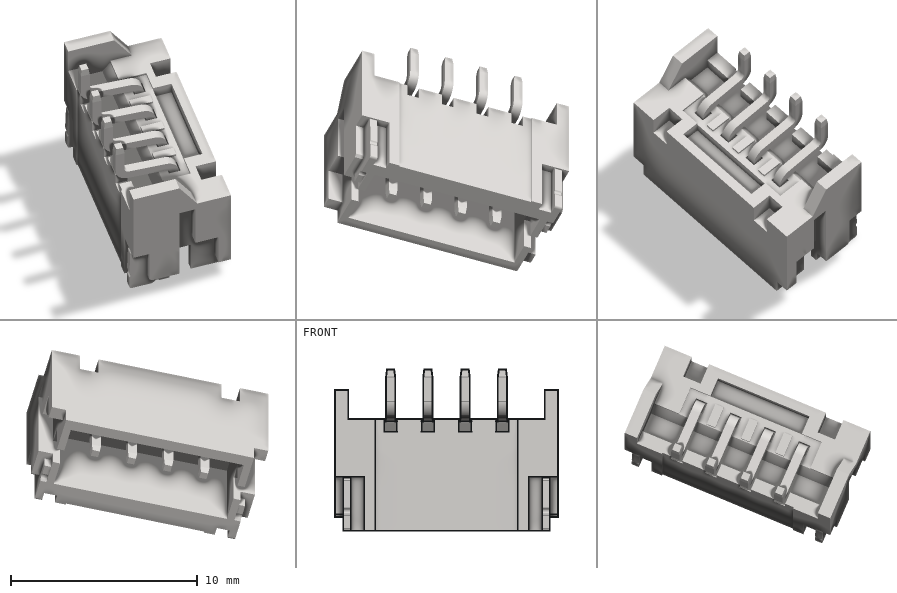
import cadquery as cq
import math


WIDTH = 11.95
DEPTH = 5.5
HEIGHT = 6.0
HALF_WIDTH = WIDTH / 2

END_WALL = 0.72
END_WALL_TOP = 7.55
END_WALL_CREST_BACK = 2.59
END_WALL_FOOT_BACK = 3.6

PIN_COUNT = 4
PITCH = 2.0
PIN_SIZE = 0.5
PIN_TIP_SIZE = 0.4
PIN_TIP_LENGTH = 0.41
PIN_INNER_RADIUS = 0.25
PIN_OUTER_RADIUS = PIN_INNER_RADIUS + PIN_SIZE
PIN_TOP = 8.65
PIN_BOTTOM = 0.69
PIN_BEAM_BOTTOM = 6.2
PIN_BEAM_TILT = math.radians(3.5)
PIN_FRONT = -0.11
PIN_BACK = 3.44
PIN_XS = [(i - (PIN_COUNT - 1) / 2) * PITCH for i in range(PIN_COUNT)]

TROUGH_FLOOR = 5.32
RIM_BACK = 0.74
TROUGH_BACK = 1.92
SLOPE_BACK = 2.38
PIN_CLEARANCE = 0.67

BAY_HALF_WIDTH = 3.81
BAY_BACK = 3.93
BAY_FLOOR = 5.87
FRONT_PANEL_RELIEF = 0.07
PIN_WELL_DEPTH = 0.24
PAD_WIDTH = 0.49
PAD_FRONT = 2.44
PAD_BACK = 3.63

POCKET_WIDTH = 5.32
POCKET_BACK = 4.97
NOTCH_WIDTH = 1.02
NOTCH_OFFSET = 3.91
NOTCH_FRONT = 4.34
NOTCH_DEPTH = 1.2

CAVITY_END_WALL = 1.2
CAVITY_FRONT = 1.2
CAVITY_BACK = 4.9
CAVITY_HEIGHT = 4.3

END_RECESS = 0.79
SIDE_SLOT_FRONT = 2.59
SIDE_SLOT_BACK = 3.49
SIDE_SLOT_TOP = 5.57
WINDOW_TOP = 1.9
STEP_BACK = 4.79
STEP_TOP = 2.89
BACK_SKIRT_BOTTOM = 0.88

CORNER_POCKET_WIDTH = 1.57
CORNER_POCKET_BACK = 0.9
CORNER_POCKET_INNER_BACK = 0.47
CORNER_POCKET_CHAMFER = 0.14
FOOT_RECESS_TOP = 0.74

CLIP_INSET = 0.44
CLIP_THICKNESS = 0.41
CLIP_FRONT = -0.08
CLIP_TOP_FRONT = -0.04
CLIP_TOP = 2.86
CLIP_TOP_ROUND = 0.14
CLIP_LEG_BACK = 1.08
CLIP_FOOT_BACK = 2.17
CLIP_FOOT_TOP = 0.84
CLIP_FOOT_UNDERSIDE = 0.11
CLIP_TOE_RADIUS = 0.14
CLIP_GROOVE_HALF_WIDTH = 0.14
CLIP_GROOVE_HEIGHT = 0.07
CLIP_GROOVE_Y = 1.47
CLIP_HEEL_Y = 1.21
CLIP_NOTCH_Z = 1.05
CLIP_NOTCH_HALF_HEIGHT = 0.15
CLIP_NOTCH_DEPTH = 0.08
CLIP_NOTCH_LIP_ROUND = 0.1


def block(x_range, y_range, z_range):
    """Box spanning the given X, Y and Z ranges."""
    size = [high - low for low, high in (x_range, y_range, z_range)]
    corner = (x_range[0], y_range[0], z_range[0])
    return cq.Workplane("XY").box(*size, centered=False).translate(corner)


def centred_block(x, width, y_range, z_range):
    """Box of the given width centred on x."""
    return block((x - width / 2, x + width / 2), y_range, z_range)


def side_profile(x_start):
    """Sketch plane for outlines in (Y, Z), extruding toward +X from x_start."""
    return cq.Workplane("YZ", origin=(x_start, 0, 0))


def on_both_ends(left_part):
    """The part at the -X end together with its mirror image."""
    return left_part.union(left_part.mirror("YZ"))


def make_end_walls():
    outline = [
        (0, 0),
        (0, END_WALL_TOP),
        (END_WALL_CREST_BACK, END_WALL_TOP),
        (END_WALL_FOOT_BACK, HEIGHT),
        (END_WALL_FOOT_BACK, 0),
    ]
    return on_both_ends(side_profile(-HALF_WIDTH).polyline(outline).close().extrude(END_WALL))


def cut_top(body):
    """Trough, bay, pads, pin wells, rim slots, pocket and back notches."""
    trough_half_width = HALF_WIDTH - END_WALL
    trough_outline = [
        (RIM_BACK, HEIGHT),
        (RIM_BACK, TROUGH_FLOOR),
        (TROUGH_BACK, TROUGH_FLOOR),
        (SLOPE_BACK, BAY_FLOOR),
        (SLOPE_BACK, HEIGHT),
    ]
    trough = side_profile(-trough_half_width).polyline(trough_outline).close()
    body = body.cut(trough.extrude(2 * trough_half_width))

    bay_width = 2 * BAY_HALF_WIDTH
    bay = centred_block(0, bay_width, (SLOPE_BACK, BAY_BACK), (BAY_FLOOR, HEIGHT))
    for left_pin, right_pin in zip(PIN_XS, PIN_XS[1:]):
        pad_x = (left_pin + right_pin) / 2
        bay = bay.cut(centred_block(pad_x, PAD_WIDTH, (PAD_FRONT, PAD_BACK), (BAY_FLOOR, HEIGHT)))
    body = body.cut(bay)
    body = body.cut(centred_block(0, bay_width, (0, FRONT_PANEL_RELIEF), (0, HEIGHT)))

    well_middle = PIN_BACK - PIN_SIZE / 2
    well_range = (well_middle - PIN_CLEARANCE / 2, well_middle + PIN_CLEARANCE / 2)
    for x in PIN_XS:
        body = body.cut(centred_block(x, PIN_CLEARANCE, (0, RIM_BACK), (TROUGH_FLOOR, HEIGHT)))
        body = body.cut(centred_block(x, PIN_CLEARANCE, well_range, (BAY_FLOOR - PIN_WELL_DEPTH, HEIGHT)))

    body = body.cut(centred_block(0, POCKET_WIDTH, (BAY_BACK, POCKET_BACK), (TROUGH_FLOOR, HEIGHT)))
    notch = centred_block(-NOTCH_OFFSET, NOTCH_WIDTH, (NOTCH_FRONT, DEPTH), (HEIGHT - NOTCH_DEPTH, HEIGHT))
    return body.cut(on_both_ends(notch))


def cut_cavity(body):
    """Mating cavity, and the window that opens it through both ends."""
    cavity_width = WIDTH - 2 * CAVITY_END_WALL
    body = body.cut(centred_block(0, cavity_width, (CAVITY_FRONT, CAVITY_BACK), (0, CAVITY_HEIGHT)))
    return body.cut(centred_block(0, WIDTH, (SIDE_SLOT_FRONT, SIDE_SLOT_BACK), (0, WINDOW_TOP)))


def cut_ends(body):
    """Stepped recesses in the ends and the corner pockets for the clips."""
    recess_x = (-HALF_WIDTH, -HALF_WIDTH + END_RECESS)
    recesses = block(recess_x, (SIDE_SLOT_FRONT, SIDE_SLOT_BACK), (0, SIDE_SLOT_TOP))
    recesses = recesses.union(block(recess_x, (SIDE_SLOT_FRONT, STEP_BACK), (0, STEP_TOP)))
    recesses = recesses.union(block(recess_x, (SIDE_SLOT_FRONT, DEPTH), (0, BACK_SKIRT_BOTTOM)))

    foot_outline = [
        (0, 0),
        (0, FOOT_RECESS_TOP + CORNER_POCKET_CHAMFER),
        (CORNER_POCKET_BACK, FOOT_RECESS_TOP + CORNER_POCKET_CHAMFER),
        (CORNER_POCKET_BACK + CORNER_POCKET_CHAMFER, FOOT_RECESS_TOP),
        (SIDE_SLOT_FRONT, FOOT_RECESS_TOP),
        (SIDE_SLOT_FRONT, 0),
    ]
    foot_recess = side_profile(-HALF_WIDTH).polyline(foot_outline).close().extrude(END_RECESS)

    clip_inner_x = -HALF_WIDTH + CLIP_INSET + CLIP_THICKNESS
    pocket_inner_x = -HALF_WIDTH + CORNER_POCKET_WIDTH
    corner_pocket = block((-HALF_WIDTH, clip_inner_x), (0, CORNER_POCKET_BACK), (0, STEP_TOP))
    corner_pocket = corner_pocket.union(
        block((clip_inner_x, pocket_inner_x), (0, CORNER_POCKET_INNER_BACK), (0, STEP_TOP))
    )
    return body.cut(on_both_ends(recesses.union(foot_recess).union(corner_pocket)))


def make_pin_tip(x, y, base_z, length):
    """Square pin end tapering over a signed length along Z."""
    base = cq.Workplane("XY", origin=(x, y, base_z)).rect(PIN_SIZE, PIN_SIZE)
    return base.workplane(offset=length).rect(PIN_TIP_SIZE, PIN_TIP_SIZE).loft()


def make_pin(x):
    """Pin rising from the cavity, running forward and turning up in front.

    The beam between the two bends drops toward the back by the beam tilt.
    """
    upper_end = PIN_TOP - PIN_TIP_LENGTH
    lower_end = PIN_BOTTOM + PIN_TIP_LENGTH
    inner, outer = PIN_INNER_RADIUS, PIN_OUTER_RADIUS
    front_y, front_z = PIN_FRONT + outer, PIN_BEAM_BOTTOM + outer
    back_y = PIN_BACK - outer

    normal_y, normal_z = math.sin(PIN_BEAM_TILT), math.cos(PIN_BEAM_TILT)
    beam_length = (back_y - front_y + (inner + outer) * normal_y) / normal_z
    back_z = front_z - beam_length * normal_y - (inner + outer) * normal_z

    def front_tangent(radius):
        return (front_y - radius * normal_y, front_z - radius * normal_z)

    def back_tangent(radius):
        return (back_y + radius * normal_y, back_z + radius * normal_z)

    pin = (
        side_profile(x - PIN_SIZE / 2)
        .moveTo(front_y - outer, upper_end)
        .lineTo(front_y - outer, front_z)
        .radiusArc(front_tangent(outer), -outer)
        .lineTo(*back_tangent(inner))
        .radiusArc((back_y + inner, back_z), inner)
        .lineTo(back_y + inner, lower_end)
        .lineTo(back_y + outer, lower_end)
        .lineTo(back_y + outer, back_z)
        .radiusArc(back_tangent(outer), -outer)
        .lineTo(*front_tangent(inner))
        .radiusArc((front_y - inner, front_z), inner)
        .lineTo(front_y - inner, upper_end)
        .close()
        .extrude(PIN_SIZE)
    )
    pin = pin.union(make_pin_tip(x, PIN_FRONT + PIN_SIZE / 2, upper_end, PIN_TIP_LENGTH))
    return pin.union(make_pin_tip(x, PIN_BACK - PIN_SIZE / 2, lower_end, -PIN_TIP_LENGTH))


def make_clips():
    """L-shaped plates with a notched front edge and a grooved foot."""
    notch_top = CLIP_NOTCH_Z + CLIP_NOTCH_HALF_HEIGHT
    notch_bottom = CLIP_NOTCH_Z - CLIP_NOTCH_HALF_HEIGHT
    clip = (
        side_profile(-HALF_WIDTH + CLIP_INSET)
        .moveTo(CLIP_LEG_BACK, CLIP_TOP)
        .lineTo(CLIP_TOP_FRONT + CLIP_TOP_ROUND, CLIP_TOP)
        .radiusArc((CLIP_TOP_FRONT, CLIP_TOP - CLIP_TOP_ROUND), -CLIP_TOP_ROUND)
        .lineTo(CLIP_FRONT, notch_top)
        .threePointArc((CLIP_FRONT + CLIP_NOTCH_DEPTH, CLIP_NOTCH_Z), (CLIP_FRONT, notch_bottom))
        .lineTo(CLIP_FRONT, CLIP_TOE_RADIUS)
        .radiusArc((CLIP_FRONT + CLIP_TOE_RADIUS, 0), -CLIP_TOE_RADIUS)
        .lineTo(CLIP_HEEL_Y, 0)
        .lineTo(CLIP_GROOVE_Y - CLIP_GROOVE_HALF_WIDTH, CLIP_FOOT_UNDERSIDE)
        .threePointArc(
            (CLIP_GROOVE_Y, CLIP_FOOT_UNDERSIDE + CLIP_GROOVE_HEIGHT),
            (CLIP_GROOVE_Y + CLIP_GROOVE_HALF_WIDTH, CLIP_FOOT_UNDERSIDE),
        )
        .lineTo(CLIP_FOOT_BACK, CLIP_FOOT_UNDERSIDE)
        .lineTo(CLIP_FOOT_BACK, CLIP_FOOT_TOP)
        .lineTo(CLIP_LEG_BACK, CLIP_FOOT_TOP)
        .close()
        .extrude(CLIP_THICKNESS)
    )
    lip_x = -HALF_WIDTH + CLIP_INSET + CLIP_THICKNESS / 2
    for lip_z in (notch_bottom, notch_top):
        lip_edge = cq.selectors.NearestToPointSelector((lip_x, CLIP_FRONT, lip_z))
        clip = clip.edges("|X").edges(lip_edge).fillet(CLIP_NOTCH_LIP_ROUND)
    return on_both_ends(clip)


housing = centred_block(0, WIDTH, (0, DEPTH), (0, HEIGHT)).union(make_end_walls())
housing = cut_top(housing)
housing = cut_cavity(housing)
housing = cut_ends(housing)

result = housing.union(make_clips())
for pin_x in PIN_XS:
    result = result.union(make_pin(pin_x))